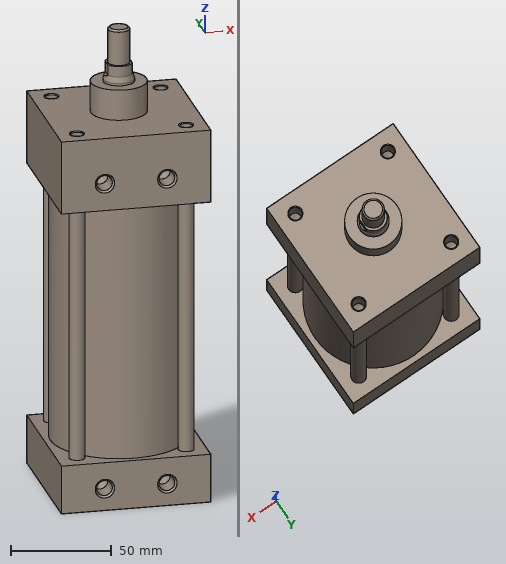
import cadquery as cq
import math

BLOCK_SIDE = 76.3
CAP_HEIGHT = 25.3
TUBE_LENGTH = 133.5
HEAD_HEIGHT = 38.1
GLAND_HEIGHT = 16.0
OVERALL_HEIGHT = 241.3

HEAD_BOTTOM = CAP_HEIGHT + TUBE_LENGTH
HEAD_TOP = HEAD_BOTTOM + HEAD_HEIGHT
GLAND_TOP = HEAD_TOP + GLAND_HEIGHT

TUBE_DIAMETER = 70.0
GLAND_DIAMETER = 28.5

TIE_ROD_DIAMETER = 8.0
TIE_ROD_SPACING = 55.7
MOUNT_HOLE_DIAMETER = 6.5
MOUNT_HOLE_DEPTH = 14.5
MOUNT_HOLE_CHAMFER = 0.5

SIDE_HOLE_SPACING = 31.9
SIDE_HOLE_DIAMETER = 8.0
SIDE_HOLE_DEPTH = 10.9
SIDE_HOLE_CHAMFER = 1.0
CAP_SIDE_HOLE_Z = 11.5
HEAD_SIDE_HOLE_RISE = 14.2
HEAD_SIDE_HOLE_Z = HEAD_BOTTOM + HEAD_SIDE_HOLE_RISE

DRILL_POINT_ANGLE = 118.0

SHANK_DIAMETER = 16.0
SHANK_STRAIGHT = 1.2
WRENCH_DIAMETER = 14.0
SHANK_HEIGHT = 4.3
WRENCH_BOTTOM = GLAND_TOP + SHANK_HEIGHT
FLATS_WIDTH = 12.5
STUD_DIAMETER = 11.0
STUD_LENGTH = 18.5
STUD_CHAMFER = 1.0
STUD_BOTTOM = OVERALL_HEIGHT - STUD_LENGTH


def cylinder(diameter, bottom, top):
    """Upright cylinder on the Z axis."""
    return cq.Workplane("XY").workplane(offset=bottom).circle(diameter / 2).extrude(top - bottom)


def block(bottom, height):
    """Square end block centred on the Z axis."""
    return cq.Workplane("XY").workplane(offset=bottom).rect(BLOCK_SIDE, BLOCK_SIDE).extrude(height)


def drill_tool(diameter, depth, chamfer):
    """Chamfered drill with a conical point, mouth at the origin, cutting towards -Z."""
    radius = diameter / 2
    point_length = radius / math.tan(math.radians(DRILL_POINT_ANGLE / 2))
    profile = [
        (0, 0),
        (radius + chamfer, 0),
        (radius, -chamfer),
        (radius, -depth),
        (0, -depth - point_length),
    ]
    return cq.Workplane("XZ").polyline(profile).close().revolve(360, (0, 0, 0), (0, 1, 0))


def make_housing():
    """Cap, tube, tie rods, head and gland as one solid."""
    housing = block(0, CAP_HEIGHT)
    housing = housing.union(cylinder(TUBE_DIAMETER, CAP_HEIGHT, HEAD_BOTTOM))
    housing = housing.union(block(HEAD_BOTTOM, HEAD_HEIGHT))
    housing = housing.union(cylinder(GLAND_DIAMETER, HEAD_TOP, GLAND_TOP))

    tie_rod = cylinder(TIE_ROD_DIAMETER, CAP_HEIGHT, HEAD_BOTTOM)
    mount_drill = drill_tool(MOUNT_HOLE_DIAMETER, MOUNT_HOLE_DEPTH, MOUNT_HOLE_CHAMFER)
    for x_side in (-1, 1):
        for y_side in (-1, 1):
            x = x_side * TIE_ROD_SPACING / 2
            y = y_side * TIE_ROD_SPACING / 2
            housing = housing.union(tie_rod.translate((x, y, 0)))
            housing = housing.cut(mount_drill.translate((x, y, HEAD_TOP)))

    side_drill = drill_tool(SIDE_HOLE_DIAMETER, SIDE_HOLE_DEPTH, SIDE_HOLE_CHAMFER)
    side_drill = side_drill.rotate((0, 0, 0), (1, 0, 0), 90)
    for z in (CAP_SIDE_HOLE_Z, HEAD_SIDE_HOLE_Z):
        for x_side in (-1, 1):
            x = x_side * SIDE_HOLE_SPACING / 2
            housing = housing.cut(side_drill.translate((x, -BLOCK_SIDE / 2, z)))
    return housing


def make_piston_rod():
    """Exposed rod end, standing on the gland face."""
    profile = [
        (0, GLAND_TOP),
        (SHANK_DIAMETER / 2, GLAND_TOP),
        (SHANK_DIAMETER / 2, GLAND_TOP + SHANK_STRAIGHT),
        (WRENCH_DIAMETER / 2, WRENCH_BOTTOM),
        (WRENCH_DIAMETER / 2, STUD_BOTTOM),
        (STUD_DIAMETER / 2, STUD_BOTTOM),
        (STUD_DIAMETER / 2, OVERALL_HEIGHT - STUD_CHAMFER),
        (STUD_DIAMETER / 2 - STUD_CHAMFER, OVERALL_HEIGHT),
        (0, OVERALL_HEIGHT),
    ]
    rod = cq.Workplane("XZ").polyline(profile).close().revolve(360, (0, 0, 0), (0, 1, 0))

    flat_x = FLATS_WIDTH / 2
    flat_profile = [
        (flat_x, STUD_BOTTOM),
        (flat_x, WRENCH_BOTTOM),
        (SHANK_DIAMETER / 2, WRENCH_BOTTOM - (SHANK_DIAMETER / 2 - flat_x)),
        (SHANK_DIAMETER / 2, STUD_BOTTOM),
    ]
    flat_cutter = cq.Workplane("XZ").polyline(flat_profile).close().extrude(SHANK_DIAMETER / 2, both=True)
    rod = rod.cut(flat_cutter)
    rod = rod.cut(flat_cutter.mirror("YZ"))
    return rod


housing = make_housing()
piston_rod = make_piston_rod()

result = cq.Compound.makeCompound([housing.val(), piston_rod.val()])